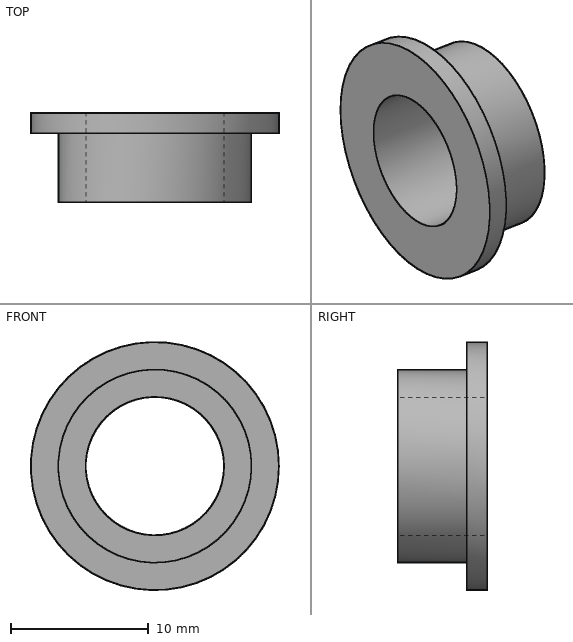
import cadquery as cq

flange_diameter = 18.0
sleeve_diameter = 14.0
bore_diameter = 10.0
total_length = 6.5
flange_thickness = 1.5
sleeve_length = total_length - flange_thickness


def ring(outer_diameter, length):
    """Ring around the bore, running from the Y = 0 plane toward -Y."""
    return (
        cq.Workplane("XZ")
        .circle(outer_diameter / 2)
        .circle(bore_diameter / 2)
        .extrude(length)
    )


sleeve = ring(sleeve_diameter, sleeve_length)
flange = ring(flange_diameter, flange_thickness).translate((0, flange_thickness, 0))

result = flange.union(sleeve)